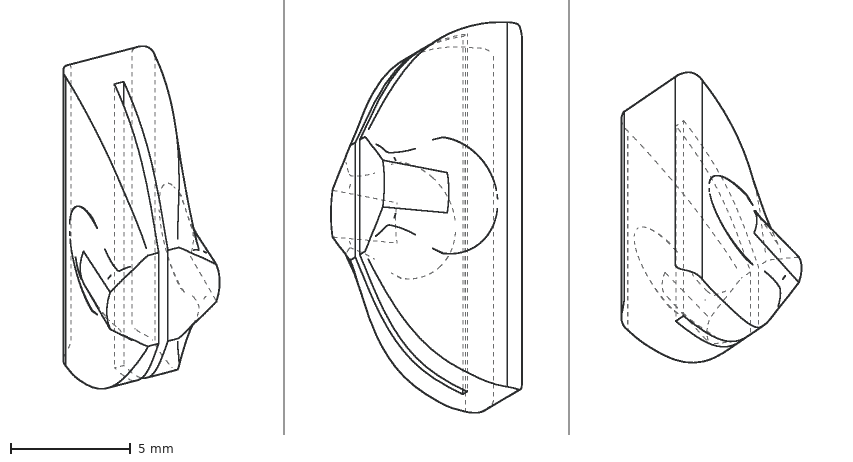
import cadquery as cq

length = 7.0
height = 15.97
half_height = height / 2
body_half_width = 2.01

back_half_width = 1.37
back_half_height = 7.5
end_round_depth = 0.55
bevel_depth = 0.29
bevel_half_width = 1.74
side_round_mid = (0.59, 1.95)
side_round_depth = 1.0

tip_half_height = 2.5
outline_curve = [(2.36, 7.71), (3.7, 7.12), (5.06, 5.97), (6.02, 4.54), (length, tip_half_height)]
tip_slope = (1, -2.1)

side_sections = [
    (side_round_depth, body_half_width, 2.0, half_height),
    (2.87, body_half_width, 1.85, 7.54),
    (4.95, body_half_width, 1.47, 6.13),
    (6.07, body_half_width, 1.07, 4.44),
    (length, body_half_width, 0.67, tip_half_height),
]
rim_overlap = 1.02

rib_half_width = 2.54
rib_start = 4.0
rib_top = 2.547
rib_shoulder = 2.4
rib_shoulder_radius = 0.88
rib_tip_shoulder_radius = 1.02
rib_tip_half_width = 1.5
rib_tip_foot = 1.66
flank_sag = 0.04

web_start = 6.31
web_start_corners = [(0.9, 3.91), (1.79, 1.63), (2.38, 0.99)]
web_tip_corners = [(0.67, tip_half_height), (1.79, 1.58), (rib_shoulder, rib_tip_shoulder_radius)]

slot_start = 2.0
slot_width = 0.42


def outline_solid():
    """Side outline, rounded at the back and curved towards the tip."""
    mirrored_curve = [(x, -z) for x, z in reversed(outline_curve)]
    round_mid = (end_round_depth * 0.3, back_half_height + (half_height - back_half_height) * 0.7)
    return (
        cq.Workplane("XZ")
        .moveTo(0, -back_half_height)
        .lineTo(0, back_half_height)
        .threePointArc(round_mid, (end_round_depth, half_height))
        .spline(outline_curve, tangents=[(1, 0), tip_slope], includeCurrent=True)
        .lineTo(length, -tip_half_height)
        .spline(
            mirrored_curve[1:] + [(end_round_depth, -half_height)],
            tangents=[(-tip_slope[0], tip_slope[1]), (-1, 0)],
            includeCurrent=True,
        )
        .threePointArc((round_mid[0], -round_mid[1]), (0, -back_half_height))
        .close()
        .extrude(2 * rib_top)
        .translate((0, rib_top, 0))
    )


def side_section(x, crest, rim, rim_height):
    """Barrel-shaped cross-section, widest at mid height and carried just past the rim."""
    reach = rim_height * rim_overlap
    edge = crest - (crest - rim) * rim_overlap**2
    return (
        cq.Workplane("YZ", origin=(x, 0, 0))
        .moveTo(-edge, -reach)
        .lineTo(edge, -reach)
        .threePointArc((crest, 0), (edge, reach))
        .lineTo(-edge, reach)
        .threePointArc((-crest, 0), (-edge, -reach))
        .close()
        .wire()
        .val()
    )


def back_block():
    """Back strip with bevelled and rounded long edges."""
    return (
        cq.Workplane("XY", origin=(0, 0, -half_height))
        .moveTo(0, -back_half_width)
        .lineTo(0, back_half_width)
        .lineTo(bevel_depth, bevel_half_width)
        .threePointArc(side_round_mid, (side_round_depth, side_sections[0][2]))
        .lineTo(side_round_depth, -side_sections[0][2])
        .threePointArc((side_round_mid[0], -side_round_mid[1]), (bevel_depth, -bevel_half_width))
        .close()
        .extrude(height)
    )


def rib_section(x, shoulder_radius, half_width, foot):
    """Rib cross-section: round crown with flared flanks down to the foot."""
    flank_mid_height = (rib_shoulder + foot) / 2 - flank_sag
    flank_mid_width = (shoulder_radius + half_width) / 2
    return (
        cq.Workplane("YZ", origin=(x, 0, 0))
        .moveTo(0, -half_width)
        .lineTo(foot, -half_width)
        .threePointArc((flank_mid_height, -flank_mid_width), (rib_shoulder, -shoulder_radius))
        .threePointArc((rib_top, 0), (rib_shoulder, shoulder_radius))
        .threePointArc((flank_mid_height, flank_mid_width), (foot, half_width))
        .lineTo(0, half_width)
        .close()
        .wire()
        .val()
    )


def rib():
    """Rib on the +Y side: a revolved rear end and a narrowing straight part."""
    flank_mid = (
        (rib_shoulder_radius + rib_half_width) / 2,
        (rib_shoulder + body_half_width) / 2 - flank_sag,
    )
    crown_mid = (rib_shoulder_radius / 2, rib_top - (rib_top - rib_shoulder) / 4)
    rear = (
        cq.Workplane("XY")
        .moveTo(0, 0)
        .lineTo(rib_half_width, 0)
        .lineTo(rib_half_width, body_half_width)
        .threePointArc(flank_mid, (rib_shoulder_radius, rib_shoulder))
        .threePointArc(crown_mid, (0, rib_top))
        .close()
        .revolve(360, (0, 0, 0), (0, 1, 0))
        .translate((rib_start, 0, 0))
        .intersect(cq.Workplane("XY").box(rib_start, height, height, centered=(False, True, True)))
    )
    front = cq.Solid.makeLoft([
        rib_section(rib_start, rib_shoulder_radius, rib_half_width, body_half_width),
        rib_section(length, rib_tip_shoulder_radius, rib_tip_half_width, rib_tip_foot),
    ])
    return rear.union(cq.Workplane(front))


def web_section(x, corners):
    """Cross-section of the tip web, symmetric about mid height."""
    upper = [(0, corners[0][1])] + corners
    lower = [(y, -z) for y, z in reversed(upper)]
    return cq.Workplane("YZ", origin=(x, 0, 0)).polyline(upper + lower).close().wire().val()


def tip_web():
    """Sloping faces from the rib shoulder out to the rim at the tip of the +Y jaw."""
    sections = [web_section(web_start, web_start_corners), web_section(length, web_tip_corners)]
    return cq.Workplane(cq.Solid.makeLoft(sections, True))


sides = cq.Workplane(cq.Solid.makeLoft([side_section(*section) for section in side_sections]))
one_rib = rib().union(tip_web())
body = back_block().union(sides).union(one_rib).union(one_rib.mirror("XZ"))
slot = cq.Workplane("XY").box(length, slot_width, height, centered=(False, True, True))
result = body.intersect(outline_solid()).cut(slot.translate((slot_start, 0, 0)))